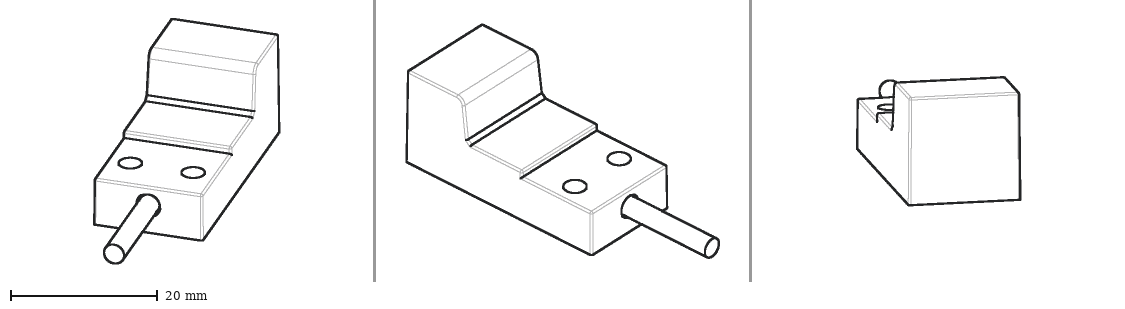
import cadquery as cq
import math

body_width = 15.62
body_length = 34.01
head_height = 15.0
shelf_height = 8.0
deck_height = 7.0
draft_angle = 0.55
edge_radius = 0.3

head_length = 10.37
head_face_angle = 7.0
head_nose_radius = 1.3
head_foot_chamfer = 0.6

step_to_back = 21.2

hole_diameter = 3.2
hole_spacing = 9.0
hole_to_front = 6.0

cable_diameter = 2.9
cable_length = 15.0
cable_height = 4.15
recess_diameter = 3.4
recess_depth = 0.5

step_y = body_length - step_to_back
head_top_y = body_length - head_length
head_foot_y = head_top_y - (head_height - shelf_height) * math.tan(math.radians(head_face_angle))


def make_drafted_block():
    """Full-height block whose four walls lean inwards."""
    block = cq.Workplane("XY").rect(body_width, body_length).extrude(head_height, taper=draft_angle)
    return block.translate((0, body_length / 2, 0))


def make_stepped_profile():
    """Side profile across the full width: deck, shelf and head."""
    profile = [
        (0, 0),
        (0, deck_height),
        (step_y, deck_height),
        (step_y, shelf_height),
        (head_foot_y, shelf_height),
        (head_top_y, head_height),
        (body_length, head_height),
        (body_length, 0),
    ]
    prism = cq.Workplane("YZ").polyline(profile).close().extrude(body_width / 2, both=True)
    nose = cq.selectors.NearestToPointSelector((0, head_top_y, head_height))
    prism = prism.edges(nose).fillet(head_nose_radius)
    foot = cq.selectors.NearestToPointSelector((0, head_foot_y, shelf_height))
    return prism.edges(foot).chamfer(head_foot_chamfer)


def round_outer_edges(body):
    """Round the side-wall edges above the base, the front and back top edges and the step edge."""
    side_edges = body.faces("<X or >X").edges("not <Z")
    front_edge = body.faces("<Y").edges(">Z")
    back_edge = body.faces(">Y").edges(">Z")
    step_edge = body.edges(cq.selectors.NearestToPointSelector((0, step_y, shelf_height)))
    return side_edges.add(front_edge).add(back_edge).add(step_edge).fillet(edge_radius)


def make_mounting_holes():
    """Two plain cylinders to cut through the deck."""
    centres = [(-hole_spacing / 2, hole_to_front), (hole_spacing / 2, hole_to_front)]
    return cq.Workplane("XY").pushPoints(centres).circle(hole_diameter / 2).extrude(deck_height)


def make_cable_cylinder(diameter, start_y, end_y):
    """Cylinder on the cable axis between two Y positions."""
    plane = cq.Plane(origin=(0, end_y, cable_height), xDir=(1, 0, 0), normal=(0, -1, 0))
    return cq.Workplane(plane).circle(diameter / 2).extrude(end_y - start_y)


housing = round_outer_edges(make_drafted_block().intersect(make_stepped_profile()))
recess = make_cable_cylinder(recess_diameter, 0, recess_depth)
cable = make_cable_cylinder(cable_diameter, -cable_length, recess_depth)

result = housing.cut(make_mounting_holes()).cut(recess).union(cable)